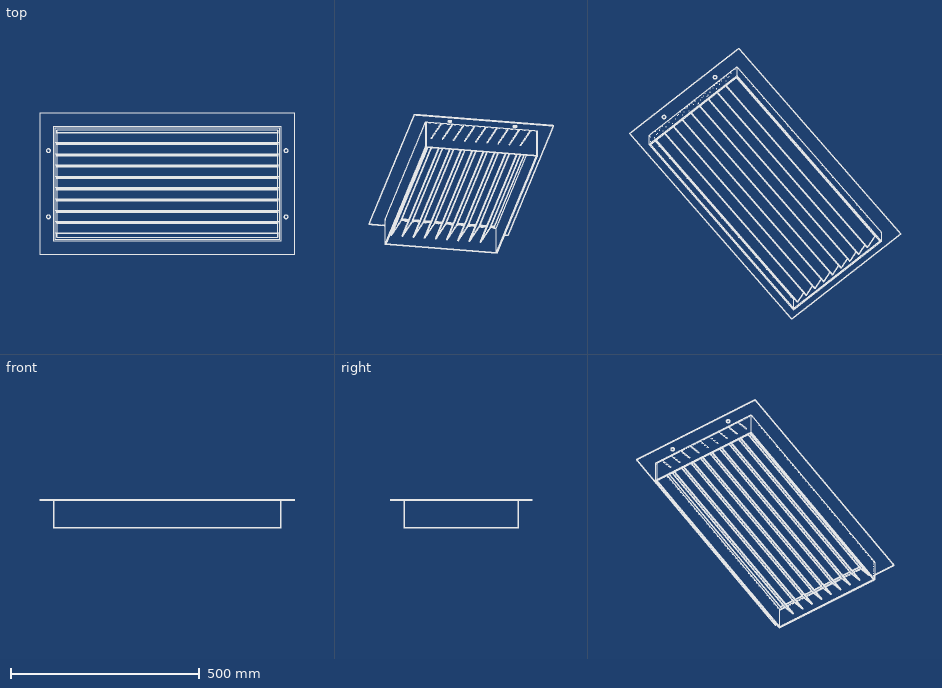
import cadquery as cq
import math

length = 675.0
width = 375.0
height = 75.0
sheet = 2.35
opening_length = 586.0
opening_width = 285.0

collar_length = 602.0
collar_width = 302.5
collar_wall = 3.05

hole_diameter = 9.5
hole_edge_distance = 22.0
hole_spacing = 175.5

blade_count = 9
blade_row_length = 240.0
blade_pitch = blade_row_length / (blade_count - 1)
blade_length = 52.5
blade_thickness = 2.0
blade_tilt = 60.0
blade_row_center = 1.7


def make_flange():
    hole_x = length / 2 - hole_edge_distance
    hole_y = hole_spacing / 2
    holes = [(sx * hole_x, sy * hole_y) for sx in (-1, 1) for sy in (-1, 1)]
    return (
        cq.Workplane("XY")
        .workplane(offset=-sheet)
        .rect(length, width)
        .rect(opening_length, opening_width)
        .pushPoints(holes)
        .circle(hole_diameter / 2)
        .extrude(sheet)
    )


def make_collar():
    return (
        cq.Workplane("XY")
        .rect(collar_length, collar_width)
        .rect(collar_length - 2 * collar_wall, collar_width - 2 * collar_wall)
        .extrude(-height)
    )


def make_blade(center_y):
    """Flat blade falling toward +Y, spanning between the collar end walls."""
    tilt = math.radians(blade_tilt)
    blade_height = blade_length * math.sin(tilt) + blade_thickness * math.cos(tilt)
    center_z = -sheet - blade_height / 2
    span = collar_length - 2 * collar_wall
    return (
        cq.Workplane("XY")
        .box(span, blade_length, blade_thickness)
        .rotate((0, 0, 0), (1, 0, 0), -blade_tilt)
        .translate((0, center_y, center_z))
    )


result = make_flange().union(make_collar())
for index in range(blade_count):
    offset = index - (blade_count - 1) / 2
    result = result.union(make_blade(blade_row_center + offset * blade_pitch))